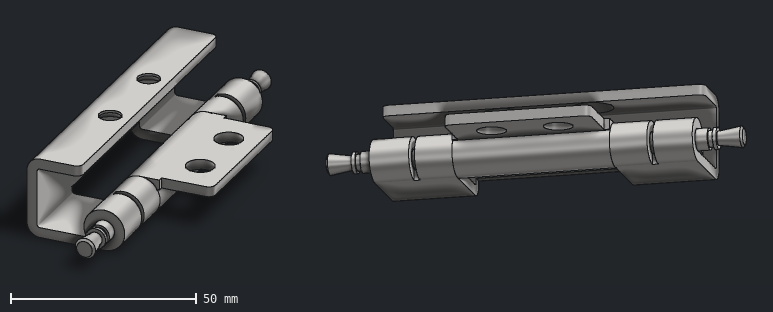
import cadquery as cq
import math


SHEET = 3.0
PIN_RADIUS = 3.0
CURL_RADIUS = PIN_RADIUS + SHEET
CURL_SWEEP = 299

CHANNEL_LENGTH = 90.0
CHANNEL_HEIGHT = 23.5
CHANNEL_LEFT = -23.0
CHANNEL_BOTTOM = -CURL_RADIUS
CHANNEL_TOP = CHANNEL_BOTTOM + CHANNEL_HEIGHT
BEND_RADIUS = 4.0
FLANGE_WIDTH = 15.9
FLANGE_HOLE_DIAMETER = 6.4
FLANGE_HOLE_INSET = 10.0
FLANGE_HOLE_SPACING = 25.0
FLANGE_HOLE_RIM = 0.7
NOTCH_HEIGHT = 5.0

SLOT_WIDTH = 1.6
SLOT_OFFSET = 33.2
SLOT_START_ANGLE = -90
SLOT_END_ANGLE = 112.5

KNUCKLE_LENGTH = 43.8
PLATE_RIGHT = 20.9
PLATE_WIDTH = 40.8
NECK_RIGHT = 5.8
PLATE_HOLE_DIAMETER = 8.0
PLATE_HOLE_X = 12.2
PLATE_HOLE_SPACING = 18.6

CORNER_RADIUS = 2.0

PIN_HALF_LENGTH = 58.0
NECK_RADIUS = 2.3
SLOT_GROOVE_INNER_RADIUS = 2.9
SLOT_GROOVE_OUTER_RADIUS = 2.5
HEAD_CHAMFER_LENGTH = 0.6
HEAD_ROOT_RADIUS = 2.0
HEAD_ROOT_Y = 50.8
COLLAR_WIDTH = 1.0
GROOVE_WIDTH = 1.4


def polar(radius, angle):
    """Point at a radius and an angle in degrees around the pin axis."""
    return radius * math.cos(math.radians(angle)), radius * math.sin(math.radians(angle))


def roll_around_pin(outline, start_angle):
    """Continue an outline along the outside of a curl, round its tip and back along the bore."""
    middle_angle = start_angle + CURL_SWEEP / 2
    tip_angle = start_angle + CURL_SWEEP
    return (
        outline.threePointArc(polar(CURL_RADIUS, middle_angle), polar(CURL_RADIUS, tip_angle))
        .lineTo(*polar(PIN_RADIUS, tip_angle))
        .threePointArc(polar(PIN_RADIUS, middle_angle), polar(PIN_RADIUS, start_angle))
    )


def block(x_range, y_range, z_range):
    """Box between the given limits."""
    ranges = (x_range, y_range, z_range)
    sizes = [high - low for low, high in ranges]
    corner = cq.Vector(*[low for low, high in ranges])
    return cq.Workplane(cq.Solid.makeBox(*sizes, pnt=corner))


def hole_points(spacing):
    """Two points spaced evenly about Y = 0."""
    return [(0, -spacing / 2), (0, spacing / 2)]


def knuckle_slot(y):
    """Sector of the curl, one slot wide, centred at y."""
    middle_angle = (SLOT_START_ANGLE + SLOT_END_ANGLE) / 2
    reach = CURL_RADIUS + SHEET
    return (
        cq.Workplane("XZ", origin=(0, y, 0))
        .moveTo(*polar(PIN_RADIUS, SLOT_START_ANGLE))
        .lineTo(*polar(reach, SLOT_START_ANGLE))
        .threePointArc(polar(reach, middle_angle), polar(reach, SLOT_END_ANGLE))
        .lineTo(*polar(PIN_RADIUS, SLOT_END_ANGLE))
        .threePointArc(polar(PIN_RADIUS, middle_angle), polar(PIN_RADIUS, SLOT_START_ANGLE))
        .close()
        .extrude(SLOT_WIDTH / 2, both=True)
    )


def channel_blank():
    """C-shaped sheet whose bottom flange rolls up around the pin, over the full length."""
    inner_left = CHANNEL_LEFT + SHEET
    inner_bottom = CHANNEL_BOTTOM + SHEET
    inner_top = CHANNEL_TOP - SHEET
    bend_x = CHANNEL_LEFT + BEND_RADIUS
    lower_bend_z = CHANNEL_BOTTOM + BEND_RADIUS
    upper_bend_z = CHANNEL_TOP - BEND_RADIUS
    inner_bend_radius = BEND_RADIUS - SHEET
    flange_end = CHANNEL_LEFT + FLANGE_WIDTH
    outline = (
        cq.Workplane("XZ")
        .moveTo(flange_end, CHANNEL_TOP)
        .lineTo(bend_x, CHANNEL_TOP)
        .radiusArc((CHANNEL_LEFT, upper_bend_z), -BEND_RADIUS)
        .lineTo(CHANNEL_LEFT, lower_bend_z)
        .radiusArc((bend_x, CHANNEL_BOTTOM), -BEND_RADIUS)
        .lineTo(0, CHANNEL_BOTTOM)
    )
    return (
        roll_around_pin(outline, -90)
        .lineTo(bend_x, inner_bottom)
        .radiusArc((inner_left, lower_bend_z), inner_bend_radius)
        .lineTo(inner_left, upper_bend_z)
        .radiusArc((bend_x, inner_top), inner_bend_radius)
        .lineTo(flange_end, inner_top)
        .close()
        .extrude(CHANNEL_LENGTH / 2, both=True)
    )


def flange_holes():
    """Screw holes of the top flange, with 90 degree countersinks on the inside of the channel."""
    sink_depth = SHEET - FLANGE_HOLE_RIM
    hole_radius = FLANGE_HOLE_DIAMETER / 2
    tool = (
        cq.Workplane("XZ")
        .polyline([
            (0, -SHEET),
            (hole_radius + sink_depth, -SHEET),
            (hole_radius, -FLANGE_HOLE_RIM),
            (hole_radius, 0),
            (0, 0),
        ])
        .close()
        .revolve(360, (0, 0), (0, 1))
        .val()
    )
    return (
        cq.Workplane("XY", origin=(CHANNEL_LEFT + FLANGE_HOLE_INSET, 0, CHANNEL_TOP))
        .pushPoints(hole_points(FLANGE_HOLE_SPACING))
        .eachpoint(lambda place: tool.moved(place))
    )


def make_channel():
    """Channel leaf with a knuckle at each end and room for the plate leaf between them."""
    channel = channel_blank()

    end_point = (CHANNEL_LEFT + FLANGE_WIDTH, 0, CHANNEL_TOP - SHEET / 2)
    flange_end = cq.selectors.NearestToPointSelector(end_point)
    channel = channel.faces(flange_end).edges("|Z").fillet(CORNER_RADIUS)

    gap = (-KNUCKLE_LENGTH / 2, KNUCKLE_LENGTH / 2)
    notch_top = CHANNEL_BOTTOM + NOTCH_HEIGHT
    channel = channel.cut(block((CHANNEL_LEFT, CURL_RADIUS), gap, (CHANNEL_BOTTOM, notch_top)))
    channel = channel.cut(block((-CURL_RADIUS, CURL_RADIUS), gap, (CHANNEL_BOTTOM, CURL_RADIUS)))

    for side in (-1, 1):
        channel = channel.cut(knuckle_slot(side * SLOT_OFFSET))

    return channel.cut(flange_holes())


def make_plate():
    """Plate leaf: middle knuckle with a flat mounting plate level with its top."""
    outline = cq.Workplane("XZ").moveTo(NECK_RIGHT, CURL_RADIUS).lineTo(0, CURL_RADIUS)
    knuckle = (
        roll_around_pin(outline, 90)
        .lineTo(NECK_RIGHT, PIN_RADIUS)
        .close()
        .extrude(KNUCKLE_LENGTH / 2, both=True)
    )
    sheet_z = (PIN_RADIUS, CURL_RADIUS)
    flat = block((NECK_RIGHT, PLATE_RIGHT), (-PLATE_WIDTH / 2, PLATE_WIDTH / 2), sheet_z)
    flat = flat.edges("|Z and >X").fillet(CORNER_RADIUS)
    holes = (
        cq.Workplane("XY", origin=(PLATE_HOLE_X, 0, PIN_RADIUS))
        .pushPoints(hole_points(PLATE_HOLE_SPACING))
        .circle(PLATE_HOLE_DIAMETER / 2)
        .extrude(SHEET)
    )
    return knuckle.union(flat).cut(holes)


def make_pin():
    """Turned pin, the same at both ends, with a tapered groove under each knuckle slot."""
    collar_inner = HEAD_ROOT_Y - COLLAR_WIDTH
    groove_inner = collar_inner - GROOVE_WIDTH
    slot_inner = SLOT_OFFSET - SLOT_WIDTH / 2
    slot_outer = SLOT_OFFSET + SLOT_WIDTH / 2
    half_profile = [
        (PIN_RADIUS, slot_inner),
        (SLOT_GROOVE_INNER_RADIUS, slot_inner),
        (SLOT_GROOVE_OUTER_RADIUS, slot_outer),
        (PIN_RADIUS, slot_outer),
        (PIN_RADIUS, groove_inner),
        (NECK_RADIUS, groove_inner),
        (NECK_RADIUS, collar_inner),
        (PIN_RADIUS, collar_inner),
        (PIN_RADIUS, HEAD_ROOT_Y),
        (HEAD_ROOT_RADIUS, HEAD_ROOT_Y),
        (PIN_RADIUS, PIN_HALF_LENGTH - HEAD_CHAMFER_LENGTH),
        (NECK_RADIUS, PIN_HALF_LENGTH),
        (0, PIN_HALF_LENGTH),
    ]
    mirrored = [(radius, -y) for radius, y in reversed(half_profile)]
    return cq.Workplane("XY").polyline(mirrored + half_profile).close().revolve(360, (0, 0), (0, 1))


channel_leaf = make_channel()
plate_leaf = make_plate()
pin = make_pin()

result = cq.Compound.makeCompound([
    *channel_leaf.solids().vals(),
    *plate_leaf.solids().vals(),
    *pin.solids().vals(),
])